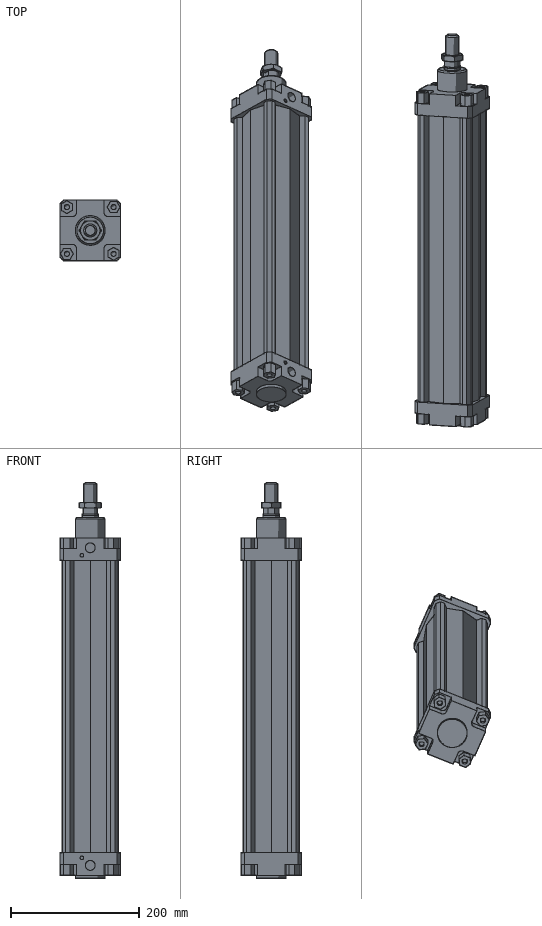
import cadquery as cq
import math


overall_height = 618.0
pilot_height = 5.0
cap_thickness = 35.0
upper_cap_top = 531.5
upper_cap_bottom = upper_cap_top - cap_thickness
lower_cap_top = pilot_height + cap_thickness
boss_top = 563.5

cap_width = 95.0
cap_corner_chamfer = 6.0
corner_pocket_edge = 21.5
corner_pocket_depth = 16.5
corner_pocket_radius = 6.0
boss_diameter = 46.5
boss_chamfer = 2.5

tie_rod_offset = 36.5
tie_nut_across_flats = 17.0
tie_hole_diameter = 8.0
tie_hole_depth = 6.0
tie_hole_point_angle = 118.0

port_diameter = 15.5
port_depth = 12.5
port_height = 15.5
screw_diameter = 5.5
screw_depth = 3.0
screw_height = 27.0
screw_offset = -13.0

tube_half_width = 44.0
tube_corner_chamfer = 5.5
lobe_inner_edge = 31.5
groove_edge = 25.5
ridge_half_width = 44.0

wiper_diameter = 26.0
wiper_lip_diameter = 25.5
wiper_top = 568.5
wiper_lip_height = 2.0

rod_diameter = 25.0
rod_shoulder = 578.0
thread_diameter = 20.5
thread_chamfer = 2.5
flat_width = 22.0

nut_across_flats = 30.0
nut_height = 9.0
nut_chamfer_angle = 30.0


def hexagon_diameter(across_flats):
    """Diameter across the corners of a hexagon."""
    return across_flats / math.cos(math.pi / 6)


def make_tube():
    """Profiled tube: four chamfered corner lobes with a shallow ridge between them."""
    groove_depth_edge = tube_half_width - (lobe_inner_edge - groove_edge)
    chamfer_start = tube_half_width - tube_corner_chamfer
    side = [
        (ridge_half_width, 0),
        (groove_depth_edge, groove_edge),
        (tube_half_width, lobe_inner_edge),
        (tube_half_width, chamfer_start),
        (chamfer_start, tube_half_width),
        (lobe_inner_edge, tube_half_width),
        (groove_edge, groove_depth_edge),
    ]
    outline = []
    for _ in range(4):
        outline += side
        side = [(-y, x) for x, y in side]
    return (
        cq.Workplane("XY", origin=(0, 0, lower_cap_top))
        .polyline(outline)
        .close()
        .extrude(upper_cap_bottom - lower_cap_top)
    )


def make_corner_pocket():
    """Cutter for the +X +Y corner pocket, open at the outer sides of the cap."""
    size = cap_width / 2 - corner_pocket_edge + corner_pocket_radius
    return (
        cq.Workplane("XY", origin=(corner_pocket_edge, corner_pocket_edge, cap_thickness))
        .rect(size, size, centered=False)
        .extrude(-corner_pocket_depth)
        .edges("|Z and <X and <Y")
        .fillet(corner_pocket_radius)
    )


def make_tie_nut():
    """Hexagonal tie rod nut in the +X +Y pocket, with a drilled centre."""
    nut = (
        cq.Workplane("XY", origin=(tie_rod_offset, tie_rod_offset, cap_thickness))
        .polygon(6, hexagon_diameter(tie_nut_across_flats))
        .extrude(-corner_pocket_depth)
    )
    radius = tie_hole_diameter / 2
    point_height = radius / math.tan(math.radians(tie_hole_point_angle / 2))
    hole = (
        cq.Workplane("XZ")
        .polyline([(0, 0), (radius, 0), (radius, -tie_hole_depth), (0, -tie_hole_depth - point_height)])
        .close()
        .revolve()
        .translate((tie_rod_offset, tie_rod_offset, cap_thickness))
    )
    return nut.cut(hole)


def make_side_hole(x, distance_from_face, diameter, depth):
    """Cutter for a blind hole in the -Y side of a cap."""
    return (
        cq.Workplane("XZ", origin=(x, -cap_width / 2, cap_thickness - distance_from_face))
        .circle(diameter / 2)
        .extrude(-depth)
    )


def make_cap():
    """End cap with its inner face at Z = 0 and its corner pockets facing +Z."""
    cap = (
        cq.Workplane("XY")
        .rect(cap_width, cap_width)
        .extrude(cap_thickness)
        .edges("|Z")
        .chamfer(cap_corner_chamfer)
    )
    pocket = make_corner_pocket()
    tie_nut = make_tie_nut()
    for quarter in range(4):
        angle = 90 * quarter
        cap = cap.cut(pocket.rotate((0, 0, 0), (0, 0, 1), angle))
        cap = cap.union(tie_nut.rotate((0, 0, 0), (0, 0, 1), angle))
    cap = cap.cut(make_side_hole(0, port_height, port_diameter, port_depth))
    return cap.cut(make_side_hole(screw_offset, screw_height, screw_diameter, screw_depth))


def make_boss(height):
    """Plain round boss standing on Z = 0."""
    return cq.Workplane("XY").circle(boss_diameter / 2).extrude(height)


def make_housing():
    """Tube, both caps, bosses and wiper ring, with the blind bore for the rod."""
    cap = make_cap()
    upper_cap = cap.translate((0, 0, upper_cap_bottom))
    lower_cap = cap.mirror("XY").translate((0, 0, lower_cap_top))
    guide_boss = make_boss(boss_top - upper_cap_top).faces(">Z").chamfer(boss_chamfer)
    guide_boss = guide_boss.translate((0, 0, upper_cap_top))
    pilot_boss = make_boss(pilot_height)
    wiper = (
        cq.Workplane("XY", origin=(0, 0, boss_top))
        .circle(wiper_diameter / 2)
        .extrude(wiper_top - wiper_lip_height - boss_top)
        .faces(">Z")
        .workplane()
        .circle(wiper_lip_diameter / 2)
        .extrude(wiper_lip_height)
    )
    bore = (
        cq.Workplane("XY", origin=(0, 0, upper_cap_top))
        .circle(rod_diameter / 2)
        .extrude(wiper_top - upper_cap_top)
    )
    housing = make_tube().union(upper_cap).union(lower_cap)
    return housing.union(guide_boss).union(pilot_boss).union(wiper).cut(bore)


def make_rod():
    """Piston rod with a stepped thread end and two wrench flats facing -X and +X."""
    rod = (
        cq.Workplane("XY", origin=(0, 0, upper_cap_top))
        .circle(rod_diameter / 2)
        .extrude(rod_shoulder - upper_cap_top)
    )
    thread = (
        cq.Workplane("XY", origin=(0, 0, rod_shoulder))
        .circle(thread_diameter / 2)
        .extrude(overall_height - rod_shoulder)
        .faces(">Z")
        .chamfer(thread_chamfer)
    )
    flat_zone = (
        cq.Workplane("XY", origin=(0, 0, wiper_top))
        .rect(rod_diameter, rod_diameter)
        .rect(flat_width, rod_diameter)
        .extrude(rod_shoulder - wiper_top)
    )
    return rod.cut(flat_zone).union(thread)


def make_nut():
    """Hexagonal lock nut on the rod shoulder, with conically chamfered corners."""
    corner_radius = hexagon_diameter(nut_across_flats) / 2
    face_radius = nut_across_flats / 2
    chamfer_height = (corner_radius - face_radius) * math.tan(math.radians(nut_chamfer_angle))
    chamfer_envelope = (
        cq.Workplane("XZ")
        .polyline([
            (0, 0),
            (face_radius, 0),
            (corner_radius, chamfer_height),
            (corner_radius, nut_height - chamfer_height),
            (face_radius, nut_height),
            (0, nut_height),
        ])
        .close()
        .revolve()
    )
    nut = (
        cq.Workplane("XY")
        .polygon(6, 2 * corner_radius)
        .extrude(nut_height)
        .intersect(chamfer_envelope)
        .cut(cq.Workplane("XY").circle(thread_diameter / 2).extrude(nut_height))
    )
    return nut.translate((0, 0, rod_shoulder))


housing = make_housing()
rod = make_rod()
lock_nut = make_nut()

result = cq.Compound.makeCompound([housing.val(), rod.val(), lock_nut.val()])